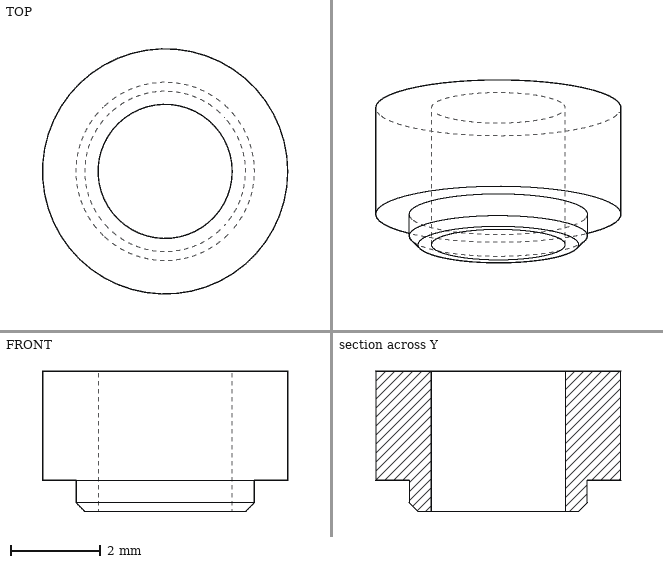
import cadquery as cq

body_diameter = 5.5
spigot_diameter = 4.0
bore_diameter = 3.0
total_height = 3.15
spigot_height = 0.7
lead_in_chamfer = 0.2

body_height = total_height - spigot_height


def make_spigot():
    """Locating spigot at the bottom, with a chamfered lead-in edge."""
    spigot = cq.Workplane("XY").circle(spigot_diameter / 2).extrude(spigot_height)
    return spigot.faces("<Z").edges().chamfer(lead_in_chamfer)


def make_body():
    """Cylindrical spacer body resting on the spigot."""
    base = cq.Workplane("XY").workplane(offset=spigot_height)
    return base.circle(body_diameter / 2).extrude(body_height)


def make_bore():
    """Cylinder that cuts the through bore."""
    return cq.Workplane("XY").circle(bore_diameter / 2).extrude(total_height)


result = make_spigot().union(make_body()).cut(make_bore())